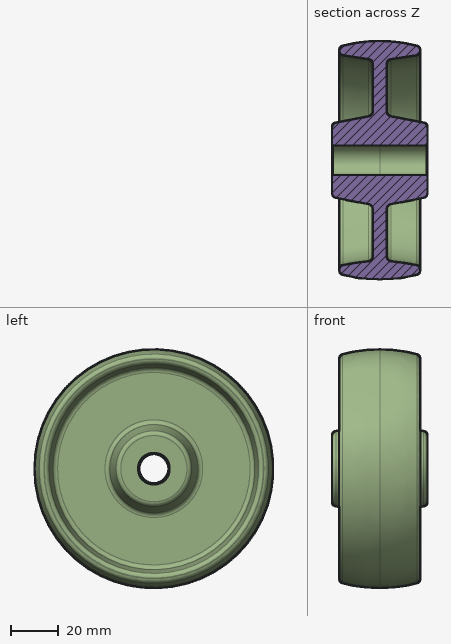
import cadquery as cq
import math

outer_radius = 50.0
crown_radius = 60.0
rim_half_width = 17.0
hub_half_width = 20.0
web_half_width = 3.0
rim_inner_radius = 44.1
hub_radius = 15.5
rim_draft = 8.5
hub_draft = 11.0
edge_fillet = 2.0
bore_radius = 6.1
bore_chamfer = 0.5


def offset_by_draft(length, draft):
    """Radial change of a drafted wall over an axial length."""
    return length * math.tan(math.radians(draft))


rim_root_radius = rim_inner_radius - offset_by_draft(rim_half_width - web_half_width, rim_draft)
hub_root_radius = hub_radius + offset_by_draft(hub_half_width - web_half_width, hub_draft)


def crown_height(x):
    """Tread radius at axial distance x from the mid-plane."""
    return outer_radius - crown_radius + math.sqrt(crown_radius**2 - x**2)


def half_wheel():
    """The -X half of the wheel, with its edges rounded."""
    profile = (
        cq.Workplane("XY")
        .moveTo(0, bore_radius)
        .lineTo(-hub_half_width + bore_chamfer, bore_radius)
        .lineTo(-hub_half_width, bore_radius + bore_chamfer)
        .lineTo(-hub_half_width, hub_radius)
        .lineTo(-web_half_width, hub_root_radius)
        .lineTo(-web_half_width, rim_root_radius)
        .lineTo(-rim_half_width, rim_inner_radius)
        .lineTo(-rim_half_width, crown_height(rim_half_width))
        .threePointArc(
            (-rim_half_width / 2, crown_height(rim_half_width / 2)),
            (0, outer_radius),
        )
        .close()
    )
    wheel = profile.revolve(360, (0, 0, 0), (1, 0, 0))
    bore_mouth_radius = bore_radius + bore_chamfer
    corner_edges = [
        edge
        for edge in wheel.edges("%CIRCLE").vals()
        if edge.Center().x < -web_half_width / 2 and edge.radius() > bore_mouth_radius + edge_fillet
    ]
    return wheel.newObject(corner_edges).fillet(edge_fillet)


near_half = half_wheel()
result = near_half.union(near_half.mirror("YZ"))